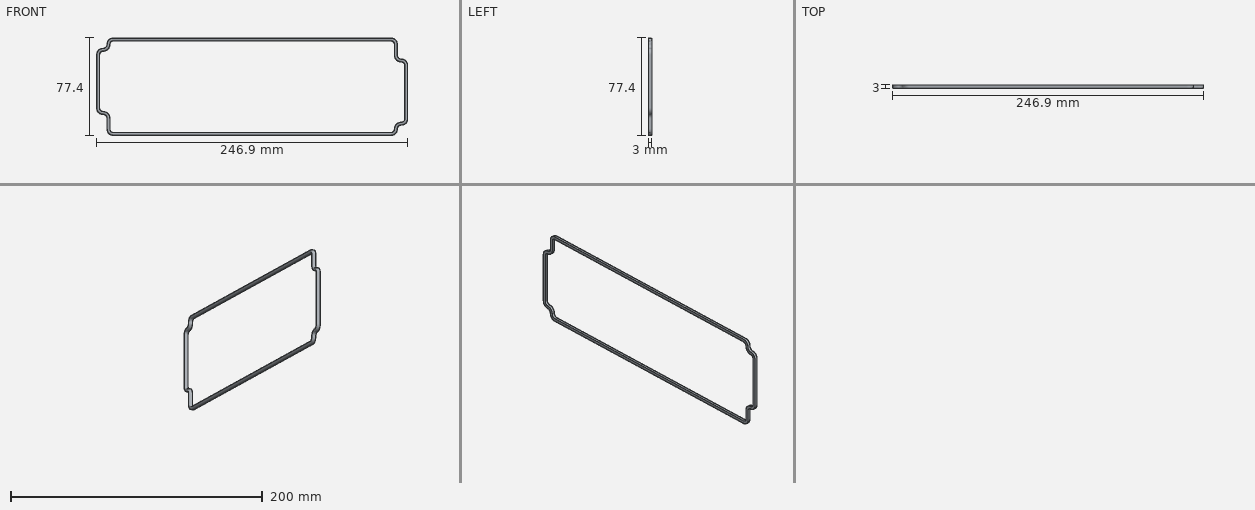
import cadquery as cq
import math

overall_x = 246.9
overall_z = 77.4
cord_width = 2.4
cord_depth = 3.0

convex_radius = 3.8
concave_radius = 4.4
notch_width = convex_radius + concave_radius
shallow_notch_height = notch_width
deep_notch_height = 16.7

half_x = (overall_x - cord_width) / 2
half_z = (overall_z - cord_width) / 2
inner_x = half_x - notch_width


def quarter_bend(path, start, end, starts_along_x):
    """Add a quarter circle that leaves its start along X or along Z."""
    leading_share = math.sin(math.radians(45))
    trailing_share = 1 - leading_share
    share_x, share_z = leading_share, trailing_share
    if not starts_along_x:
        share_x, share_z = trailing_share, leading_share
    middle = (
        start[0] + share_x * (end[0] - start[0]),
        start[1] + share_z * (end[1] - start[1]),
    )
    return path.threePointArc(middle, end)


def bend_chain(path, points, starts_along_x):
    """Run straight to the first point, then bend from each point to the next."""
    path = path.lineTo(*points[0])
    for start, end in zip(points, points[1:]):
        path = quarter_bend(path, start, end, starts_along_x)
        starts_along_x = not starts_along_x
    return path


def half_loop(path, side):
    """Go clockwise from the middle of one long run to the middle of the opposite one."""
    deep_step = half_z - deep_notch_height
    shallow_step = half_z - shallow_notch_height
    deep_shoulder = [
        (inner_x - convex_radius, half_z),
        (inner_x, half_z - convex_radius),
    ]
    deep_foot = [
        (inner_x, deep_step + concave_radius),
        (half_x - convex_radius, deep_step),
        (half_x, deep_step - convex_radius),
    ]
    shallow_corner = [
        (half_x, convex_radius - shallow_step),
        (half_x - convex_radius, -shallow_step),
        (inner_x, convex_radius - half_z),
        (inner_x - convex_radius, -half_z),
    ]
    chains = [(deep_shoulder, True), (deep_foot, False), (shallow_corner, False)]
    for points, starts_along_x in chains:
        turned_points = [(side * x, side * z) for x, z in points]
        path = bend_chain(path, turned_points, starts_along_x)
    return path


def centreline():
    """Closed loop in the XZ plane, unchanged by half a turn about Y."""
    path = cq.Workplane("XZ").moveTo(0, half_z)
    for side in (1, -1):
        path = half_loop(path, side)
    return path.close()


def section():
    """D-shaped section at the top of the loop: flat back at +Y, round front at -Y."""
    front_radius = cord_width / 2
    back_y = cord_depth / 2
    front_y = -back_y
    round_start_y = front_y + front_radius
    return (
        cq.Workplane("YZ", origin=(0, 0, half_z))
        .moveTo(round_start_y, front_radius)
        .lineTo(back_y, front_radius)
        .lineTo(back_y, -front_radius)
        .lineTo(round_start_y, -front_radius)
        .threePointArc((front_y, 0), (round_start_y, front_radius))
        .close()
    )


result = section().sweep(centreline())